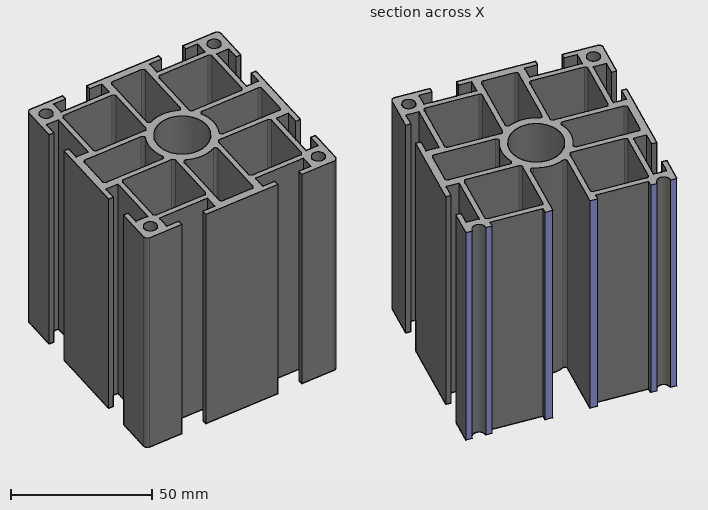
import cadquery as cq

SIZE = 80.0
LENGTH = 100.0
OUTER_RADIUS = 1.6
HALF = SIZE / 2

SLOT_OFFSET = SIZE / 4
SLOT_OPENING = 10.0
SLOT_WIDTH = 20.0
SLOT_DEPTH = 7.0
LIP_THICKNESS = 2.0

CHAMBER_SIZE = 22.0
CHAMBER_OFFSET = SLOT_OFFSET

CHANNEL_WIDTH = 14.0
CHANNEL_WALL = 3.0

CAVITY_RADIUS = 1.0

TUBE_BORE_DIAMETER = 20.2
TUBE_WALL = 3.0
TUBE_OUTER_DIAMETER = TUBE_BORE_DIAMETER + 2 * TUBE_WALL
CORNER_HOLE_DIAMETER = 5.0
CORNER_HOLE_INSET = 5.0

SIDE_ANGLES = (0, 90, 180, 270)
ORIGIN = (0, 0, 0)
Z_AXIS_POINT = (0, 0, 1)


def prism(x_size, y_size, x_center=0.0, y_center=0.0):
    """Full-length rectangular prism standing on the XY plane."""
    return cq.Workplane("XY").center(x_center, y_center).rect(x_size, y_size).extrude(LENGTH)


def t_slot(x_center):
    """T-slot void opening through the +Y side."""
    cavity_height = SLOT_DEPTH - LIP_THICKNESS
    cavity_center = HALF - LIP_THICKNESS - cavity_height / 2
    opening = prism(SLOT_OPENING, SLOT_DEPTH, x_center, HALF - SLOT_DEPTH / 2)
    cavity = prism(SLOT_WIDTH, cavity_height, x_center, cavity_center)
    return opening.union(cavity)


def channel():
    """Void between the +Y outer wall and the central tube, with rounded corners."""
    channel_length = HALF - CHANNEL_WALL
    block = prism(CHANNEL_WIDTH, channel_length, 0, channel_length / 2)
    tube = cq.Workplane("XY").circle(TUBE_OUTER_DIAMETER / 2).extrude(LENGTH)
    return block.cut(tube).edges("|Z").fillet(CAVITY_RADIUS)


def chambers():
    """Four square voids with rounded corners."""
    return (
        cq.Workplane("XY")
        .rect(2 * CHAMBER_OFFSET, 2 * CHAMBER_OFFSET, forConstruction=True)
        .vertices()
        .rect(CHAMBER_SIZE, CHAMBER_SIZE)
        .extrude(LENGTH)
        .edges("|Z")
        .fillet(CAVITY_RADIUS)
    )


def round_holes():
    """Central bore and the four corner holes."""
    hole_spacing = SIZE - 2 * CORNER_HOLE_INSET
    bore = cq.Workplane("XY").circle(TUBE_BORE_DIAMETER / 2).extrude(LENGTH)
    corner_holes = (
        cq.Workplane("XY")
        .rect(hole_spacing, hole_spacing, forConstruction=True)
        .vertices()
        .circle(CORNER_HOLE_DIAMETER / 2)
        .extrude(LENGTH)
    )
    return bore.union(corner_holes)


profile = prism(SIZE, SIZE).edges("|Z").fillet(OUTER_RADIUS)
profile = profile.cut(chambers()).cut(round_holes())

side_voids = (t_slot(-SLOT_OFFSET), t_slot(SLOT_OFFSET), channel())
for angle in SIDE_ANGLES:
    for void in side_voids:
        profile = profile.cut(void.rotate(ORIGIN, Z_AXIS_POINT, angle))

result = profile